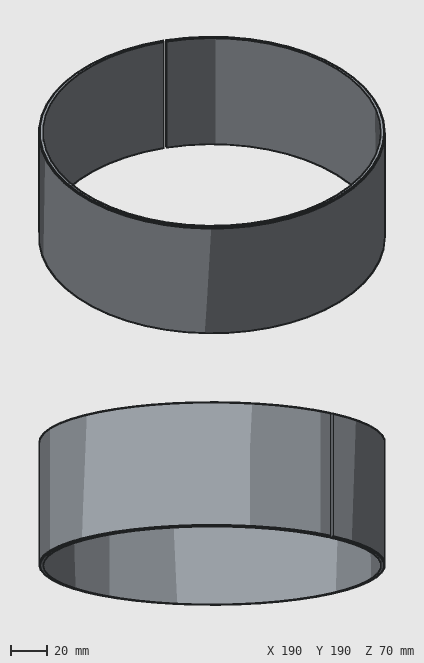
import cadquery as cq

outer_diameter = 190.0
height = 70.0
wall = 2.3
slit_angle = 1.0
rim_chamfer = 0.5

outer_radius = outer_diameter / 2
inner_radius = outer_radius - wall
rim_radius = outer_radius - rim_chamfer

wall_section = (
    cq.Workplane("XZ")
    .moveTo(-inner_radius, 0)
    .lineTo(-rim_radius, 0)
    .lineTo(-outer_radius, rim_chamfer)
    .lineTo(-outer_radius, height - rim_chamfer)
    .lineTo(-rim_radius, height)
    .lineTo(-inner_radius, height)
    .close()
)

result = wall_section.revolve(360 - slit_angle, (0, 0, 0), (0, 1, 0))